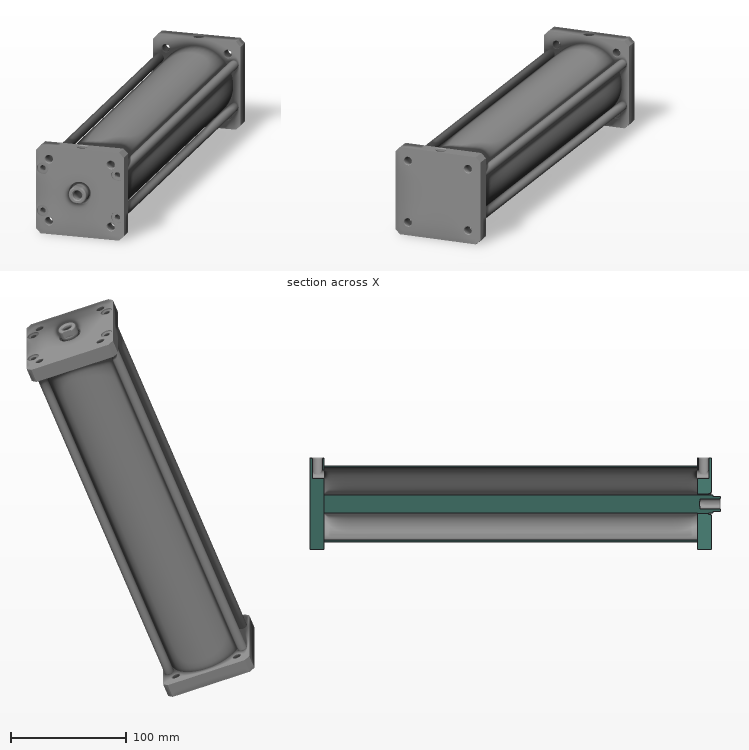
import cadquery as cq
import math


overall_length = 357.0
rod_projection = 8.0
front_plate_thickness = 13.0
rear_plate_thickness = 12.5
front_y = -overall_length / 2
rear_y = overall_length / 2
front_plate_y = front_y + rod_projection
front_plate_inner_y = front_plate_y + front_plate_thickness
rear_plate_inner_y = rear_y - rear_plate_thickness

plate_side = 80.0
plate_corner_chamfer = 4.3

mounting_hole_diameter = 6.8
mounting_hole_rim_diameter = 8.0
mounting_hole_offset = 28.2

port_diameter = 8.5
port_rim_diameter = 10.0
port_depth = 14.3
port_setback = 5.7
air_passage_diameter = 6.8
air_passage_z = plate_side / 2 - port_depth

tube_outer_diameter = 66.5
tube_inner_diameter = 63.0

tie_rod_diameter = 8.2
tie_rod_x = 34.0
tie_rod_z = 19.3
tie_rod_recess_diameter = 10.5
tie_rod_recess_depth = 1.0
tie_rod_neck_diameter = 6.8
tie_rod_neck_gap = 0.7
tie_rod_neck_engagement = 8.5
tie_rod_thread_diameter = 5.0
tie_rod_thread_depth = 10.0
tie_rod_drill_angle = 118.0

piston_rod_diameter = 16.0
piston_rod_edge_radius = 1.5
flat_distance = 13.5
flat_start_gap = 1.5
rod_thread_diameter = 8.2
rod_thread_rim_diameter = 10.0
rod_thread_depth = 18.0
rod_thread_drill_angle = 165.0

piston_rod_bore_diameter = 16.5
seal_recess_diameter = 18.0
seal_recess_rim_diameter = 20.5
seal_recess_depth = 2.5

inward_from_front = cq.Vector(0, 1, 0)
inward_from_rear = cq.Vector(0, -1, 0)
downward = cq.Vector(0, 0, -1)

tie_rod_places = [(x, z) for x in (-tie_rod_x, tie_rod_x) for z in (-tie_rod_z, tie_rod_z)]
mounting_hole_places = [
    (x, z)
    for x in (-mounting_hole_offset, mounting_hole_offset)
    for z in (-mounting_hole_offset, mounting_hole_offset)
]


def cylinder(diameter, start_y, end_y, x=0.0, z=0.0):
    """Solid cylinder parallel to Y."""
    length = end_y - start_y
    return cq.Workplane(
        cq.Solid.makeCylinder(diameter / 2, length, cq.Vector(x, start_y, z), inward_from_front)
    )


def rim_cone(rim_diameter, bore_diameter, start, direction):
    """Conical cutter for a 45-degree chamfer at the mouth of a hole."""
    depth = (rim_diameter - bore_diameter) / 2
    return cq.Workplane(cq.Solid.makeCone(rim_diameter / 2, bore_diameter / 2, depth, start, direction))


def drilled_hole(diameter, depth, point_angle, start, direction):
    """Cutter for a blind hole that ends in a conical drill point."""
    point_height = diameter / 2 / math.tan(math.radians(point_angle / 2))
    point_start = start + direction * depth
    bore = cq.Workplane(cq.Solid.makeCylinder(diameter / 2, depth, start, direction))
    point = cq.Workplane(cq.Solid.makeCone(diameter / 2, 0, point_height, point_start, direction))
    return bore.union(point)


def cut_mounting_holes(plate, start_y, end_y):
    """Four through holes, chamfered on both faces of the plate."""
    for x, z in mounting_hole_places:
        plate = plate.cut(cylinder(mounting_hole_diameter, start_y, end_y, x, z))
        for face_y, direction in ((start_y, inward_from_front), (end_y, inward_from_rear)):
            mouth = cq.Vector(x, face_y, z)
            plate = plate.cut(
                rim_cone(mounting_hole_rim_diameter, mounting_hole_diameter, mouth, direction)
            )
    return plate


def cut_air_port(plate, port_y, inner_y):
    """Chamfered port from the top, with a passage from its floor to the inner face of the plate."""
    mouth = cq.Vector(0, port_y, plate_side / 2)
    bore = cq.Workplane(cq.Solid.makeCylinder(port_diameter / 2, port_depth, mouth, downward))
    rim = rim_cone(port_rim_diameter, port_diameter, mouth, downward)
    port_radius = port_diameter / 2
    passage_start_y = min(port_y - port_radius, inner_y)
    passage_end_y = max(port_y + port_radius, inner_y)
    passage = cylinder(air_passage_diameter, passage_start_y, passage_end_y, z=air_passage_z)
    return plate.cut(bore).cut(rim).cut(passage)


def make_plate(start_y, end_y, port_y, inner_y):
    """Square plate with chamfered corners, four mounting holes and an air port."""
    plate = (
        cq.Workplane("XY")
        .box(plate_side, end_y - start_y, plate_side)
        .edges("|Y")
        .chamfer(plate_corner_chamfer)
        .translate((0, (start_y + end_y) / 2, 0))
    )
    plate = cut_mounting_holes(plate, start_y, end_y)
    return cut_air_port(plate, port_y, inner_y)


def make_front_plate():
    """Front plate with recessed tie rod holes and a stepped bore for the piston rod."""
    port_y = front_plate_inner_y - port_setback
    plate = make_plate(front_plate_y, front_plate_inner_y, port_y, front_plate_inner_y)
    recess_end_y = front_plate_y + tie_rod_recess_depth
    for x, z in tie_rod_places:
        plate = plate.cut(cylinder(tie_rod_diameter, front_plate_y, front_plate_inner_y, x, z))
        plate = plate.cut(cylinder(tie_rod_recess_diameter, front_plate_y, recess_end_y, x, z))
    bore = cylinder(piston_rod_bore_diameter, front_plate_y, front_plate_inner_y)
    recess = cylinder(seal_recess_diameter, front_plate_y, front_plate_y + seal_recess_depth)
    recess_mouth = cq.Vector(0, front_plate_y, 0)
    rim = rim_cone(seal_recess_rim_diameter, seal_recess_diameter, recess_mouth, inward_from_front)
    return plate.cut(bore).cut(recess).cut(rim)


def make_rear_plate():
    """Rear plate with blind holes for the tie rod necks."""
    port_y = rear_plate_inner_y + port_setback
    plate = make_plate(rear_plate_inner_y, rear_y, port_y, rear_plate_inner_y)
    hole_end_y = rear_plate_inner_y + tie_rod_neck_engagement
    for x, z in tie_rod_places:
        plate = plate.cut(cylinder(tie_rod_neck_diameter, rear_plate_inner_y, hole_end_y, x, z))
    return plate


def make_tube():
    """Thin tube between the two plates."""
    outer = cylinder(tube_outer_diameter, front_plate_inner_y, rear_plate_inner_y)
    return outer.cut(cylinder(tube_inner_diameter, front_plate_inner_y, rear_plate_inner_y))


def make_tie_rod(x, z):
    """Tie rod with a threaded hole in its front end and a neck at its rear end."""
    start_y = front_plate_y + tie_rod_recess_depth
    shoulder_y = rear_plate_inner_y - tie_rod_neck_gap
    neck_end_y = rear_plate_inner_y + tie_rod_neck_engagement
    shaft = cylinder(tie_rod_diameter, start_y, shoulder_y, x, z)
    neck = cylinder(tie_rod_neck_diameter, shoulder_y, neck_end_y, x, z)
    thread = drilled_hole(
        tie_rod_thread_diameter,
        tie_rod_thread_depth,
        tie_rod_drill_angle,
        cq.Vector(x, start_y, z),
        inward_from_front,
    )
    return shaft.union(neck).cut(thread)


def make_piston_rod():
    """Piston rod with a rounded front edge, two wrench flats and a threaded hole in its front end."""
    rod = cylinder(piston_rod_diameter, front_y, rear_plate_inner_y)
    rod = rod.faces("<Y").edges().fillet(piston_rod_edge_radius)
    flat_length = rod_projection - flat_start_gap
    flat_depth = (piston_rod_diameter - flat_distance) / 2
    flat_cutter = cq.Workplane("XY").box(piston_rod_diameter, flat_length, flat_depth)
    for side in (-1, 1):
        cutter_z = side * (flat_distance + flat_depth) / 2
        rod = rod.cut(flat_cutter.translate((0, front_y + flat_length / 2, cutter_z)))
    mouth = cq.Vector(0, front_y, 0)
    thread = drilled_hole(
        rod_thread_diameter, rod_thread_depth, rod_thread_drill_angle, mouth, inward_from_front
    )
    rim = rim_cone(rod_thread_rim_diameter, rod_thread_diameter, mouth, inward_from_front)
    return rod.cut(thread).cut(rim)


front_plate = make_front_plate()
rear_plate = make_rear_plate()
tube = make_tube()
tie_rods = [make_tie_rod(x, z) for x, z in tie_rod_places]
piston_rod = make_piston_rod()

result = cq.Compound.makeCompound(
    [
        front_plate.val(),
        rear_plate.val(),
        tube.val(),
        *[tie_rod.val() for tie_rod in tie_rods],
        piston_rod.val(),
    ]
)